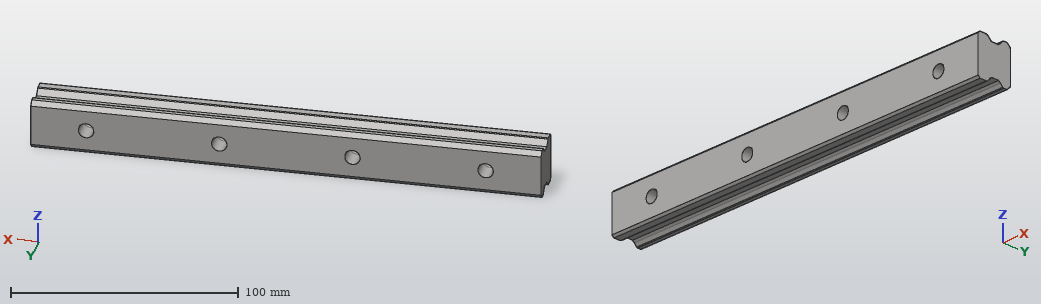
import cadquery as cq

length = 230.0
depth = 20.0
height = 23.0

head_chamfer = 2.0
base_chamfer = 1.2
groove_depth = 2.8
groove_floor_back = 7.4
groove_floor_front = 11.7
wall_break_offset = 6.2
wall_break_drop = 1.8
wall_run = groove_depth
lip_relief = 0.7
lip_drop = 0.2

hole_diameter = 7.0
hole_count = 4
hole_pitch = 60.0

half_depth = depth / 2
half_height = height / 2
floor_height = half_height - groove_depth
lip_height = half_height - lip_drop
mouth_back = groove_floor_back - wall_run + lip_drop
mouth_front = groove_floor_front + wall_run - lip_drop

upper_outline = [
    (0, half_height - head_chamfer),
    (head_chamfer, half_height),
    (mouth_back - lip_relief, half_height),
    (mouth_back, lip_height),
    (wall_break_offset, half_height - wall_break_drop),
    (groove_floor_back, floor_height),
    (groove_floor_front, floor_height),
    (mouth_front, lip_height),
    (mouth_front + lip_relief, half_height),
    (depth - base_chamfer, half_height),
    (depth, half_height - base_chamfer),
]


def make_rail():
    """Extrude the section, mirrored about the mid-plane, along X."""
    upper = [(half_depth - offset, z) for offset, z in upper_outline]
    lower = [(y, -z) for y, z in reversed(upper)]
    section = cq.Workplane("YZ").polyline(upper + lower).close()
    return section.extrude(length / 2, both=True)


def make_holes():
    """Row of evenly spaced cylinders centred on the rail."""
    return (
        cq.Workplane("XZ")
        .rarray(hole_pitch, 2.3, hole_count, 1)
        .circle(hole_diameter / 2)
        .extrude(half_depth, both=True)
    )


result = make_rail().cut(make_holes())